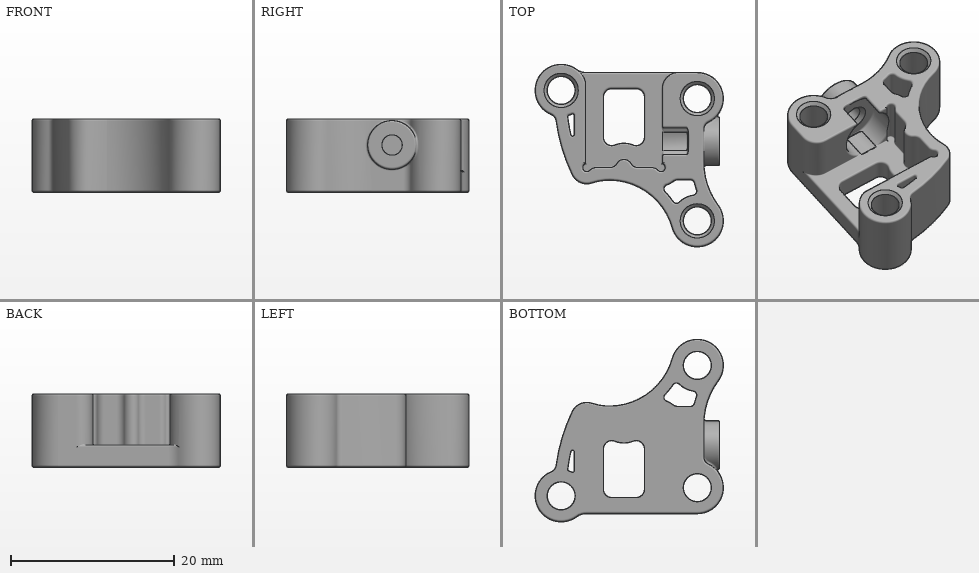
import cadquery as cq
import math


HEIGHT = 9.0
TOLERANCE = 0.001
EDGE_RADIUS = 0.25
BOSS_RADIUS = 3.2
HOLE_DIAMETER = 3.4
HOLE_CHAMFER = 0.4
REAR_RIGHT = (0.0, 0.0)
REAR_LEFT = (-16.7, 1.0)
FRONT_RIGHT = (0.0, -15.0)
WEB = 1.5

FLOOR_Z = 2.75
POCKET_X = -9.0
POCKET_HALF_WIDTH = 4.7
POCKET_FRONT_Y = -8.47
POCKET_MOUTH_RADIUS = 2.0
RELIEF_RADIUS = 0.5
RELIEF_OFFSET = 4.55
BUMP_RADIUS = 1.0
POCKET_BLEND_RADIUS = 1.0
REAR_Y = BOSS_RADIUS
POCKET_LEFT_X = POCKET_X - POCKET_HALF_WIDTH
POCKET_RIGHT_X = POCKET_X + POCKET_HALF_WIDTH
BUMP_CENTRE = (POCKET_X, POCKET_FRONT_Y)
LEFT_RELIEF = (POCKET_X - RELIEF_OFFSET, POCKET_FRONT_Y)
RIGHT_RELIEF = (POCKET_X + RELIEF_OFFSET, POCKET_FRONT_Y)

WINDOW_HALF_WIDTH = 2.5
WINDOW_REAR_Y = 1.2
WINDOW_CORNER_RADIUS = 1.0
WINDOW_BUMP_RADIUS = BUMP_RADIUS + 2.0

RIGHT_WALL_X = 0.8
BOSS_BLEND_RADIUS = 1.0
REAR_BLEND_RADIUS = 2.0
RIGHT_ARC_RADIUS = 9.0
FRONT_ARC_RADIUS = 8.0
FRONT_ARC_X = -10.785
FRONT_BLEND_RADIUS = 6.8
CORNER_RADIUS = RELIEF_RADIUS + WEB
LEFT_ARC_RADIUS = 22.0
LEFT_ARC_Y = 0.2

LEFT_SLOT_CORNER_RADIUS = 0.2
RIGHT_SLOT_CORNER_RADIUS = 0.5
LEFT_SLOT_RIGHT_X = -15.1
RIGHT_SLOT_REAR_Y = -9.97
RIGHT_SLOT_BLEND_RADIUS = 1.2
RIGHT_SLOT_RELIEF_RADIUS = 2.25

SEAT_Y = -5.24
SEAT_Z = 5.8
SEAT_RADIUS = 3.25
SEAT_END_X = -1.11
FLOOR_FILLET = 0.1
COLLAR_RADIUS = 3.0
COLLAR_END_X = 2.75
COLLAR_ROOT_FILLET = 0.2
SHAFT_HOLE_DIAMETER = 2.5
SHAFT_HOLE_FLARE = 0.5


def polar(centre, radius, angle):
    return (centre[0] + radius * math.cos(angle), centre[1] + radius * math.sin(angle))


def toward(centre, target, radius):
    """Point at a distance from centre, in the direction of target."""
    angle = math.atan2(target[1] - centre[1], target[0] - centre[0])
    return polar(centre, radius, angle)


def circle_meet(centre_a, radius_a, centre_b, radius_b, side):
    """Crossing of two circles; side 1 lies left of the direction from a to b, -1 right of it."""
    span = math.dist(centre_a, centre_b)
    cosine = (radius_a**2 + span**2 - radius_b**2) / (2 * radius_a * span)
    heading = math.atan2(centre_b[1] - centre_a[1], centre_b[0] - centre_a[0])
    return polar(centre_a, radius_a, heading + side * math.acos(cosine))


def offset_at(hypotenuse, across):
    """Second leg of the right triangle with the given hypotenuse and leg."""
    return math.sqrt(hypotenuse**2 - across**2)


def arc(sketch, centre, radius, end):
    """Continue along the shorter arc around centre to end."""
    start = sketch.val().endPoint() if hasattr(sketch.val(), "endPoint") else sketch.val()
    first = toward(centre, (start.x, start.y), 1)
    last = toward(centre, end, 1)
    middle = ((first[0] + last[0]) / 2, (first[1] + last[1]) / 2)
    return sketch.threePointArc(toward(centre, middle, radius), end)


FRONT_ARC = (
    FRONT_ARC_X,
    FRONT_RIGHT[1] - offset_at(FRONT_ARC_RADIUS + BOSS_RADIUS, FRONT_RIGHT[0] - FRONT_ARC_X),
)
FRONT_BLEND = circle_meet(
    FRONT_ARC, FRONT_ARC_RADIUS - FRONT_BLEND_RADIUS,
    LEFT_RELIEF, FRONT_BLEND_RADIUS + CORNER_RADIUS, -1,
)
LEFT_ARC = (
    LEFT_RELIEF[0] + offset_at(LEFT_ARC_RADIUS - CORNER_RADIUS, LEFT_ARC_Y - LEFT_RELIEF[1]),
    LEFT_ARC_Y,
)
LEFT_BLEND = circle_meet(
    LEFT_ARC, LEFT_ARC_RADIUS + BOSS_BLEND_RADIUS,
    REAR_LEFT, BOSS_RADIUS + BOSS_BLEND_RADIUS, 1,
)
RIGHT_ARC_X = RIGHT_WALL_X + RIGHT_ARC_RADIUS
RIGHT_ARC = (
    RIGHT_ARC_X,
    FRONT_RIGHT[1] + offset_at(RIGHT_ARC_RADIUS + BOSS_RADIUS, RIGHT_ARC_X - FRONT_RIGHT[0]),
)
RIGHT_BLEND_X = RIGHT_WALL_X + BOSS_BLEND_RADIUS
RIGHT_BLEND = (
    RIGHT_BLEND_X,
    REAR_RIGHT[1] - offset_at(BOSS_RADIUS + BOSS_BLEND_RADIUS, RIGHT_BLEND_X - REAR_RIGHT[0]),
)
REAR_BLEND_Y = REAR_Y + REAR_BLEND_RADIUS
REAR_BLEND = (
    REAR_LEFT[0] + offset_at(BOSS_RADIUS + REAR_BLEND_RADIUS, REAR_BLEND_Y - REAR_LEFT[1]),
    REAR_BLEND_Y,
)


def make_outline(height):
    rear_tip = (REAR_RIGHT[0], REAR_Y)
    right_tip = (REAR_RIGHT[0] + BOSS_RADIUS, REAR_RIGHT[1])
    front_tip = (FRONT_RIGHT[0], FRONT_RIGHT[1] - BOSS_RADIUS)
    left_tip = (REAR_LEFT[0] - BOSS_RADIUS, REAR_LEFT[1])
    path = cq.Workplane("XY").moveTo(REAR_BLEND[0], REAR_Y).lineTo(*rear_tip)
    path = arc(path, REAR_RIGHT, BOSS_RADIUS, right_tip)
    path = arc(path, REAR_RIGHT, BOSS_RADIUS, toward(REAR_RIGHT, RIGHT_BLEND, BOSS_RADIUS))
    path = arc(path, RIGHT_BLEND, BOSS_BLEND_RADIUS, (RIGHT_WALL_X, RIGHT_BLEND[1]))
    path = path.lineTo(RIGHT_WALL_X, RIGHT_ARC[1])
    path = arc(path, RIGHT_ARC, RIGHT_ARC_RADIUS, toward(FRONT_RIGHT, RIGHT_ARC, BOSS_RADIUS))
    path = arc(path, FRONT_RIGHT, BOSS_RADIUS, front_tip)
    path = arc(path, FRONT_RIGHT, BOSS_RADIUS, toward(FRONT_RIGHT, FRONT_ARC, BOSS_RADIUS))
    path = arc(path, FRONT_ARC, FRONT_ARC_RADIUS, toward(FRONT_ARC, FRONT_BLEND, FRONT_ARC_RADIUS))
    path = arc(path, FRONT_BLEND, FRONT_BLEND_RADIUS, toward(LEFT_RELIEF, FRONT_BLEND, CORNER_RADIUS))
    path = arc(path, LEFT_RELIEF, CORNER_RADIUS, toward(LEFT_ARC, LEFT_RELIEF, LEFT_ARC_RADIUS))
    path = arc(path, LEFT_ARC, LEFT_ARC_RADIUS, toward(LEFT_ARC, LEFT_BLEND, LEFT_ARC_RADIUS))
    path = arc(path, LEFT_BLEND, BOSS_BLEND_RADIUS, toward(REAR_LEFT, LEFT_BLEND, BOSS_RADIUS))
    path = arc(path, REAR_LEFT, BOSS_RADIUS, left_tip)
    path = arc(path, REAR_LEFT, BOSS_RADIUS, (REAR_LEFT[0], REAR_LEFT[1] + BOSS_RADIUS))
    path = arc(path, REAR_LEFT, BOSS_RADIUS, toward(REAR_LEFT, REAR_BLEND, BOSS_RADIUS))
    path = arc(path, REAR_BLEND, REAR_BLEND_RADIUS, (REAR_BLEND[0], REAR_Y))
    return path.close().extrude(height)


def make_pocket():
    """Full-height cutter with the plan shape of the pocket."""
    mouth = POCKET_MOUTH_RADIUS
    left_mouth_x = POCKET_LEFT_X - mouth
    left_mouth = (
        left_mouth_x,
        REAR_LEFT[1] + offset_at(BOSS_RADIUS - mouth, left_mouth_x - REAR_LEFT[0]),
    )
    right_mouth = (POCKET_RIGHT_X + mouth, REAR_Y - mouth)

    blend = POCKET_BLEND_RADIUS
    blend_y = POCKET_FRONT_Y - blend
    relief_blend = offset_at(blend + RELIEF_RADIUS, blend)
    bump_blend = offset_at(blend + BUMP_RADIUS, blend)
    left_relief_blend = (LEFT_RELIEF[0] + relief_blend, blend_y)
    right_relief_blend = (RIGHT_RELIEF[0] - relief_blend, blend_y)
    left_bump_blend = (POCKET_X - bump_blend, POCKET_FRONT_Y + blend)
    right_bump_blend = (POCKET_X + bump_blend, POCKET_FRONT_Y + blend)
    relief_top = POCKET_FRONT_Y + offset_at(RELIEF_RADIUS, POCKET_HALF_WIDTH - RELIEF_OFFSET)
    left_side = (LEFT_RELIEF[0] - RELIEF_RADIUS, POCKET_FRONT_Y)
    right_side = (RIGHT_RELIEF[0] + RELIEF_RADIUS, POCKET_FRONT_Y)
    boss_rear = (REAR_LEFT[0], REAR_LEFT[1] + BOSS_RADIUS)
    behind_y = boss_rear[1] + 1

    path = cq.Workplane("XY").moveTo(POCKET_LEFT_X, left_mouth[1])
    path = path.lineTo(POCKET_LEFT_X, relief_top)
    path = arc(path, LEFT_RELIEF, RELIEF_RADIUS, left_side)
    path = arc(path, LEFT_RELIEF, RELIEF_RADIUS, toward(LEFT_RELIEF, left_relief_blend, RELIEF_RADIUS))
    path = arc(path, left_relief_blend, blend, (left_relief_blend[0], POCKET_FRONT_Y))
    path = path.lineTo(left_bump_blend[0], POCKET_FRONT_Y)
    path = arc(path, left_bump_blend, blend, toward(BUMP_CENTRE, left_bump_blend, BUMP_RADIUS))
    path = arc(path, BUMP_CENTRE, BUMP_RADIUS, toward(BUMP_CENTRE, right_bump_blend, BUMP_RADIUS))
    path = arc(path, right_bump_blend, blend, (right_bump_blend[0], POCKET_FRONT_Y))
    path = path.lineTo(right_relief_blend[0], POCKET_FRONT_Y)
    path = arc(path, right_relief_blend, blend, toward(RIGHT_RELIEF, right_relief_blend, RELIEF_RADIUS))
    path = arc(path, RIGHT_RELIEF, RELIEF_RADIUS, right_side)
    path = arc(path, RIGHT_RELIEF, RELIEF_RADIUS, (POCKET_RIGHT_X, relief_top))
    path = path.lineTo(POCKET_RIGHT_X, right_mouth[1])
    path = arc(path, right_mouth, mouth, (right_mouth[0], REAR_Y))
    path = path.lineTo(right_mouth[0], behind_y).lineTo(boss_rear[0], behind_y).lineTo(*boss_rear)
    path = arc(path, REAR_LEFT, BOSS_RADIUS, toward(REAR_LEFT, left_mouth, BOSS_RADIUS))
    path = arc(path, left_mouth, mouth, (POCKET_LEFT_X, left_mouth[1]))
    return path.close().extrude(HEIGHT)


def make_window():
    corner = WINDOW_CORNER_RADIUS
    left = POCKET_X - WINDOW_HALF_WIDTH
    right = POCKET_X + WINDOW_HALF_WIDTH
    rear_y = WINDOW_REAR_Y - corner
    inset = WINDOW_HALF_WIDTH - corner
    front_y = POCKET_FRONT_Y + offset_at(WINDOW_BUMP_RADIUS + corner, inset)
    front_left = (left + corner, front_y)
    front_right = (right - corner, front_y)
    rear_left = (left + corner, rear_y)
    rear_right = (right - corner, rear_y)
    path = cq.Workplane("XY").moveTo(left, rear_y).lineTo(left, front_y)
    path = arc(path, front_left, corner, (front_left[0], front_y - corner))
    path = arc(path, front_left, corner, toward(front_left, BUMP_CENTRE, corner))
    path = arc(path, BUMP_CENTRE, WINDOW_BUMP_RADIUS, toward(front_right, BUMP_CENTRE, corner))
    path = arc(path, front_right, corner, (front_right[0], front_y - corner))
    path = arc(path, front_right, corner, (right, front_y))
    path = path.lineTo(right, rear_y)
    path = arc(path, rear_right, corner, (rear_right[0], WINDOW_REAR_Y))
    path = path.lineTo(rear_left[0], WINDOW_REAR_Y)
    path = arc(path, rear_left, corner, (left, rear_y))
    return path.close().extrude(HEIGHT)


def disc(centre, radius):
    return cq.Workplane("XY").center(*centre).circle(radius).extrude(HEIGHT)


def make_left_slot():
    """Slot that keeps one web to the outline and one to the rear left hole."""
    size = 3 * BOSS_RADIUS
    strip = cq.Workplane("XY").box(size, size, HEIGHT, centered=False)
    strip = strip.translate((LEFT_SLOT_RIGHT_X - size, REAR_LEFT[1] - size, 0))
    slot = strip.intersect(disc(LEFT_ARC, LEFT_ARC_RADIUS - WEB))
    slot = slot.cut(disc(REAR_LEFT, HOLE_DIAMETER / 2 + WEB))
    return slot.edges("|Z").fillet(LEFT_SLOT_CORNER_RADIUS)


def make_right_slot():
    """Slot that keeps one web to the side and front arcs and one to the front right hole."""
    hole_clearance = HOLE_DIAMETER / 2 + WEB
    front_clearance = FRONT_ARC_RADIUS + WEB
    side_clearance = RIGHT_ARC_RADIUS + WEB
    left = RIGHT_RELIEF[0] - RIGHT_SLOT_RELIEF_RADIUS
    width = RIGHT_WALL_X - left
    depth = RIGHT_SLOT_REAR_Y - FRONT_RIGHT[1]
    slot = cq.Workplane("XY").box(width, depth, HEIGHT, centered=False)
    slot = slot.translate((left, FRONT_RIGHT[1], 0))
    slot = slot.cut(disc(FRONT_RIGHT, hole_clearance)).cut(disc(FRONT_ARC, front_clearance))
    slot = slot.cut(disc(RIGHT_ARC, side_clearance)).cut(disc(RIGHT_RELIEF, RIGHT_SLOT_RELIEF_RADIUS))
    slot = cq.Workplane(slot.solids(">Y").val())
    relief_reach = offset_at(RIGHT_SLOT_RELIEF_RADIUS, RIGHT_SLOT_REAR_Y - RIGHT_RELIEF[1])
    blend_corner = (RIGHT_RELIEF[0] + relief_reach, RIGHT_SLOT_REAR_Y, HEIGHT / 2)
    slot = slot.edges(cq.NearestToPointSelector(blend_corner)).fillet(RIGHT_SLOT_BLEND_RADIUS)
    corners = [
        circle_meet(FRONT_ARC, front_clearance, RIGHT_RELIEF, RIGHT_SLOT_RELIEF_RADIUS, -1),
        circle_meet(FRONT_ARC, front_clearance, FRONT_RIGHT, hole_clearance, 1),
        circle_meet(RIGHT_ARC, side_clearance, FRONT_RIGHT, hole_clearance, -1),
        (RIGHT_ARC[0] - offset_at(side_clearance, RIGHT_SLOT_REAR_Y - RIGHT_ARC[1]), RIGHT_SLOT_REAR_Y),
    ]
    for x, y in corners:
        corner = cq.NearestToPointSelector((x, y, HEIGHT / 2))
        slot = slot.edges("|Z").edges(corner).fillet(RIGHT_SLOT_CORNER_RADIUS)
    return slot


def rod(radius, start_x, end_x):
    """Cylinder on the axis of the bearing seat."""
    plane = cq.Workplane("YZ", origin=(start_x, SEAT_Y, SEAT_Z))
    return plane.circle(radius).extrude(end_x - start_x)


def make_seat():
    seat = rod(SEAT_RADIUS, POCKET_RIGHT_X, SEAT_END_X)
    return seat.faces(">X").edges().fillet(EDGE_RADIUS)


def make_seat_groove():
    """Lowest part of the bearing seat, which dips below the pocket floor."""
    size = 4 * SEAT_RADIUS
    below = cq.Workplane("XY").box(size, size, FLOOR_Z).translate((POCKET_RIGHT_X, SEAT_Y, FLOOR_Z / 2))
    return make_seat().intersect(below)


def make_plate():
    """Lower plate that forms the pocket floor, with its rear and window edges rounded."""
    plate = make_outline(FLOOR_Z).cut(make_window())
    plate = plate.faces(">Z").edges().fillet(EDGE_RADIUS)
    return plate.cut(make_left_slot()).cut(make_right_slot())


def make_walls():
    """Full-height walls around the pocket, with their top edges and the seat mouth rounded."""
    walls = make_outline(HEIGHT).cut(make_pocket())
    walls = walls.cut(make_left_slot()).cut(make_right_slot()).cut(make_seat())
    mouth_low = (POCKET_RIGHT_X - EDGE_RADIUS, SEAT_Y - SEAT_RADIUS, SEAT_Z - SEAT_RADIUS)
    mouth_high = (POCKET_RIGHT_X + EDGE_RADIUS, SEAT_Y + SEAT_RADIUS, HEIGHT - EDGE_RADIUS)
    mouth = walls.edges(cq.selectors.BoxSelector(mouth_low, mouth_high)).edges("%CIRCLE")
    return walls.faces(">Z").edges().add(mouth).fillet(EDGE_RADIUS)


def on_floor(edge):
    box = edge.BoundingBox()
    return abs(box.zmin - FLOOR_Z) < TOLERANCE and abs(box.zmax - FLOOR_Z) < TOLERANCE


def round_floor_corner(part):
    """Blend the pocket walls into the floor."""
    window_box = make_window().val().BoundingBox()
    corner = []
    for edge in part.edges().vals():
        centre = edge.Center()
        in_window = (
            abs(centre.x - POCKET_X) < WINDOW_HALF_WIDTH + 2 * EDGE_RADIUS
            and window_box.ymin - 2 * EDGE_RADIUS < centre.y < window_box.ymax + 2 * EDGE_RADIUS
        )
        at_rear = centre.y > REAR_Y - 2 * EDGE_RADIUS
        in_seat = centre.x > POCKET_RIGHT_X + RELIEF_RADIUS
        if on_floor(edge) and not (in_window or at_rear or in_seat):
            corner.append(edge)
    return part.newObject(corner).fillet(FLOOR_FILLET)


def on_collar(vertex):
    return abs(math.dist((vertex.Y, vertex.Z), (SEAT_Y, SEAT_Z)) - COLLAR_RADIUS) < TOLERANCE


def add_collar(part):
    """Collar on the right side, rounded at its rim and blended into the body."""
    collar = rod(COLLAR_RADIUS, SEAT_END_X, COLLAR_END_X)
    collar = collar.faces(">X").edges().fillet(EDGE_RADIUS)
    part = part.union(collar)
    root = []
    for edge in part.edges().vals():
        ends = edge.Vertices()
        on_side = RIGHT_WALL_X - TOLERANCE < edge.Center().x < COLLAR_END_X - EDGE_RADIUS - TOLERANCE
        if on_side and all(on_collar(vertex) for vertex in ends):
            root.append(edge)
    return part.newObject(root).fillet(COLLAR_ROOT_FILLET)


def make_shaft_hole():
    """Hole through the collar, widened by a cone where it opens into the bearing seat."""
    radius = SHAFT_HOLE_DIAMETER / 2
    mouth = cq.Workplane("YZ", origin=(SEAT_END_X, SEAT_Y, SEAT_Z)).circle(radius + SHAFT_HOLE_FLARE)
    flare = mouth.extrude(SHAFT_HOLE_FLARE, taper=45)
    return rod(radius, SEAT_END_X, COLLAR_END_X).union(flare)


def drill_holes(part):
    radius = HOLE_DIAMETER / 2
    for centre in (REAR_RIGHT, REAR_LEFT, FRONT_RIGHT):
        rim = cq.Workplane("XY", origin=(*centre, HEIGHT)).circle(radius + HOLE_CHAMFER)
        sink = rim.extrude(-HOLE_CHAMFER, taper=45)
        part = part.cut(disc(centre, radius)).cut(sink)
    return part


def round_underside(part):
    outline = part.faces("<Z").val().outerWire().Edges()
    return part.newObject(outline).fillet(EDGE_RADIUS)


result = make_walls().union(make_plate())
result = round_floor_corner(result)
result = result.cut(make_seat_groove())
result = round_underside(result)
result = add_collar(result)
result = result.cut(make_shaft_hole())
result = drill_holes(result)